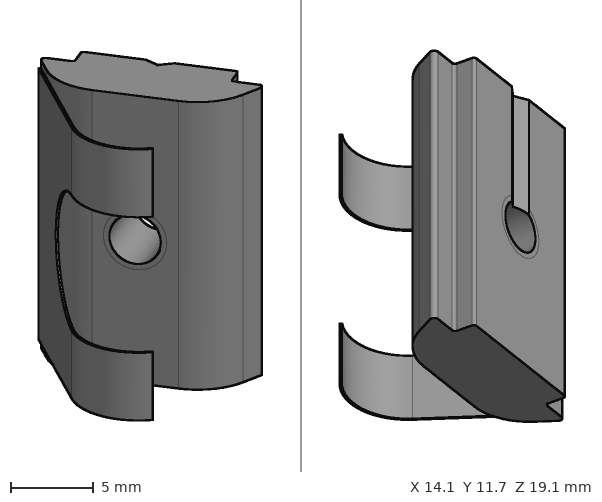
import cadquery as cq
import math


nut_length = 19.1
nut_depth = 5.2
neck_width = 9.9
neck_depth = 1.5
flat_width = 5.47
shoulder_radius = 4.0
flank_angle = 60.0
wing_tip_radius = 0.29
neck_fillet = 0.2

core_diameter = 3.25
thread_diameter = 4.0
groove_depth = 0.53
groove_angle = 120.0

clip_height = 18.0
clip_thickness = 0.15
clip_reach = 11.7
clip_inner_radius = 4.0
clip_end_angle = 29.0
clip_left_x = -7.09
clip_window_width = 9.0
clip_window_setback = 0.25

flank = math.radians(flank_angle)
flank_cos = math.cos(flank)
flank_sin = math.sin(flank)
flank_tan = math.tan(flank)

flank_start_x = flat_width / 2 + shoulder_radius * flank_sin
flank_start_y = -nut_depth + shoulder_radius * (1 - flank_cos)


def extrude_centred(outline, height):
    """Extrude an XY outline along Z, half up and half down."""
    return outline.close().extrude(height / 2, both=True)


def make_nut():
    """Extruded nut: narrow neck at the back, wings with sloping flanks and round shoulders."""
    flat_half = flat_width / 2
    neck_half = neck_width / 2
    arc_mid_x = flat_half + shoulder_radius * math.sin(flank / 2)
    arc_mid_y = -nut_depth + shoulder_radius * (1 - math.cos(flank / 2))
    wing_half = flank_start_x + (-neck_depth - flank_start_y) / flank_tan

    outline = (
        cq.Workplane("XY")
        .moveTo(-flat_half, -nut_depth)
        .lineTo(flat_half, -nut_depth)
        .threePointArc((arc_mid_x, arc_mid_y), (flank_start_x, flank_start_y))
        .lineTo(wing_half, -neck_depth)
        .lineTo(neck_half, -neck_depth)
        .lineTo(neck_half, 0)
        .lineTo(-neck_half, 0)
        .lineTo(-neck_half, -neck_depth)
        .lineTo(-wing_half, -neck_depth)
        .lineTo(-flank_start_x, flank_start_y)
        .threePointArc((-arc_mid_x, arc_mid_y), (-flat_half, -nut_depth))
    )
    nut = extrude_centred(outline, nut_length)

    for side in (-1, 1):
        wing_tip = cq.NearestToPointSelector((side * wing_half, -neck_depth, 0))
        nut = nut.edges(wing_tip).fillet(wing_tip_radius)
        for y in (0, -neck_depth):
            neck_corner = cq.NearestToPointSelector((side * neck_half, y, 0))
            nut = nut.edges(neck_corner).fillet(neck_fillet)
    return nut


def along_hole(diameter):
    """Cylinder on the hole axis, as long as the nut is deep."""
    return cq.Workplane("XZ").circle(diameter / 2).extrude(nut_depth)


def make_groove():
    """V-groove in the back face, from the hole up to the top end of the nut."""
    half_width = groove_depth * math.tan(math.radians(groove_angle / 2))
    return (
        cq.Workplane("XY")
        .moveTo(-half_width, 0)
        .lineTo(0, -groove_depth)
        .lineTo(half_width, 0)
        .close()
        .extrude(nut_length / 2)
    )


def make_clip():
    """Thin strip lying on the left flank, curling forward, with a window open to its free end."""
    outer_radius = clip_inner_radius + clip_thickness
    centre_y = -clip_reach + outer_radius
    bend_start_y = centre_y - clip_inner_radius * flank_cos
    bend_start_x = -flank_start_x + (flank_start_y - bend_start_y) / flank_tan
    centre_x = bend_start_x + clip_inner_radius * flank_sin
    end_angle = math.radians(clip_end_angle)

    def on_bend(radius, angle):
        """Point on the bend; the angle is measured from straight forward (-Y) towards +X."""
        return (centre_x + radius * math.sin(angle), centre_y - radius * math.cos(angle))

    outer_start = on_bend(outer_radius, -flank)
    inner_start = on_bend(clip_inner_radius, -flank)
    straight_length = (outer_start[0] - clip_left_x) / flank_cos

    def up_the_strip(point):
        """Point at the strip's upper end, level with the given bend start."""
        return (point[0] - straight_length * flank_cos, point[1] + straight_length * flank_sin)

    outline = (
        cq.Workplane("XY")
        .moveTo(*up_the_strip(outer_start))
        .lineTo(*outer_start)
        .threePointArc(on_bend(outer_radius, 0), on_bend(outer_radius, end_angle))
        .lineTo(*on_bend(clip_inner_radius, end_angle))
        .threePointArc(on_bend(clip_inner_radius, 0), inner_start)
        .lineTo(*up_the_strip(inner_start))
    )
    clip = extrude_centred(outline, clip_height)

    strip_plane = cq.Plane(
        origin=(outer_start[0], outer_start[1], 0),
        xDir=(flank_cos, -flank_sin, 0),
        normal=(flank_sin, flank_cos, 0),
    )
    window_radius = clip_window_width / 2
    window_length = 2 * outer_radius
    window = (
        cq.Workplane(strip_plane)
        .moveTo(clip_window_setback, -window_radius)
        .lineTo(window_length, -window_radius)
        .lineTo(window_length, window_radius)
        .lineTo(clip_window_setback, window_radius)
        .threePointArc((clip_window_setback - window_radius, 0), (clip_window_setback, -window_radius))
        .close()
        .extrude(outer_radius, both=True)
    )
    return clip.cut(window)


nut = make_nut().union(make_clip())

thread = along_hole(thread_diameter).cut(along_hole(core_diameter))
nut = nut.cut(along_hole(thread_diameter)).union(thread, clean=False)

result = nut.cut(make_groove(), clean=False)